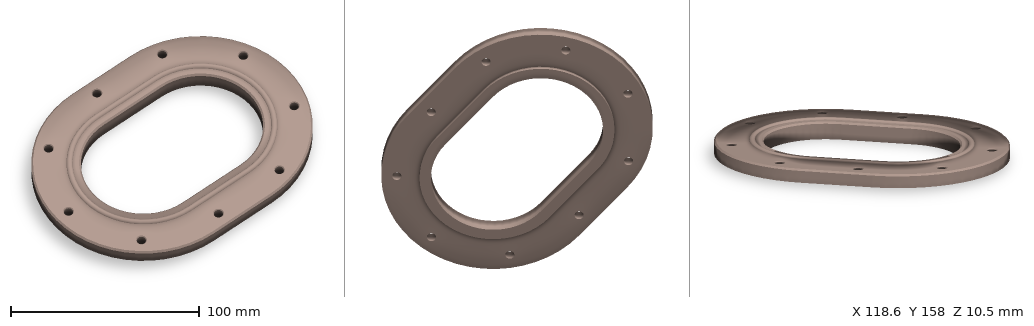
import cadquery as cq
import math

length = 158.0
width = 118.6
straight = length - width
end_center_y = straight / 2

foot_height = 2.0
flange_height = 7.5
bead_height = 1.0
flange_top = foot_height + flange_height

opening_radius = 33.0
bead_radius = 39.0
foot_radius = bead_radius
bead_half_width = 1.66
edge_chamfer = 1.0

bolt_radius = 51.0
hole_diameter = 4.9
hole_chamfer = 0.5
side_hole_y = -9.8
upper_hole_angles = (15.5, 65.2)
lower_hole_angle = -40.2


def racetrack(radius, height, base):
    """Solid racetrack plate with its ends concentric with the flange ends."""
    return (
        cq.Workplane("XY", origin=(0, 0, base))
        .slot2D(straight + 2 * radius, 2 * radius, 90)
        .extrude(height)
    )


def bead_section(plane):
    """Domed bead profile in a plane across the path of the bead."""
    return (
        plane.moveTo(bead_radius - bead_half_width, flange_top)
        .threePointArc((bead_radius, flange_top + bead_height), (bead_radius + bead_half_width, flange_top))
        .close()
    )


def bead_end(side):
    """Half ring of bead around one end; side is +1 or -1 along Y."""
    ring = bead_section(cq.Workplane("XZ")).revolve(360, (0, 0), (0, 1))
    reach = 2 * width
    half_space = cq.Workplane("XY").box(reach, reach, reach).translate((0, side * reach / 2, 0))
    return ring.intersect(half_space).translate((0, side * end_center_y, 0))


def point_on_end(angle, side):
    """Bolt position on one end arc, with the angle measured from +X."""
    x = bolt_radius * math.cos(math.radians(angle))
    y = bolt_radius * math.sin(math.radians(angle))
    return x, y + side * end_center_y


flange = racetrack(width / 2, flange_height, foot_height).faces(">Z").edges().chamfer(edge_chamfer)
body = flange.union(racetrack(foot_radius, foot_height, 0))

opening = racetrack(opening_radius, flange_top, 0)
rim_radius = opening_radius + edge_chamfer
opening_rim = (
    cq.Workplane("XY", origin=(0, 0, flange_top))
    .slot2D(straight + 2 * rim_radius, 2 * rim_radius, 90)
    .extrude(-edge_chamfer, taper=45)
)
body = body.cut(opening).cut(opening_rim)

bead_side = bead_section(cq.Workplane("XZ")).extrude(end_center_y, both=True)
body = body.union(bead_side).union(bead_side.mirror("YZ"))
for end in (1, -1):
    body = body.union(bead_end(end))

right_holes = [point_on_end(angle, 1) for angle in upper_hole_angles]
right_holes += [(bolt_radius, side_hole_y), point_on_end(lower_hole_angle, -1)]
left_holes = [(-x, y) for x, y in right_holes]
hole_points = right_holes + left_holes + [point_on_end(-90, -1)]
hole_rim_diameter = hole_diameter + 2 * hole_chamfer
result = body.cut(
    cq.Workplane("XY").pushPoints(hole_points).circle(hole_diameter / 2).extrude(flange_top)
)
rim_cone = cq.Solid.makeCone(hole_diameter / 2, hole_rim_diameter / 2, hole_chamfer)
for x, y in hole_points:
    result = result.cut(cq.Workplane(rim_cone.translate(cq.Vector(x, y, flange_top - hole_chamfer))))